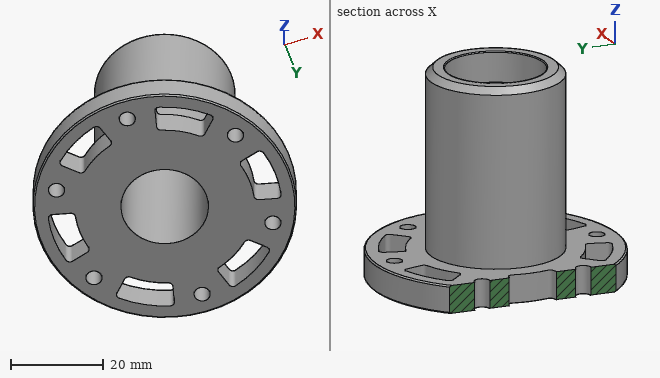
import cadquery as cq
import math

flange_diameter = 57.15
flange_thickness = 6.45
flange_edge_chamfer = 0.35

overall_height = 47.6
tube_diameter = 30.5
tube_chamfer_width = 1.6
tube_chamfer_height = 1.5

bore_diameter = 19.0
seat_diameter = 22.2
seat_depth = 7.05
seat_edge_chamfer = 0.25

pattern_count = 6
pattern_step = 360 / pattern_count
bolt_hole_diameter = 3.5
bolt_circle_radius = 23.85
first_bolt_angle = pattern_step / 2
window_inner_radius = 19.55
window_outer_radius = 25.45
window_half_angle = 15.0
window_corner_radius = 1.0


def polar_point(radius, angle):
    """Point in the XY plane at a radius and an angle in degrees."""
    radians = math.radians(angle)
    return (radius * math.cos(radians), radius * math.sin(radians))


def make_body():
    """Flange with a coaxial tube standing on its top."""
    flange = (
        cq.Workplane("XY")
        .circle(flange_diameter / 2)
        .extrude(flange_thickness)
        .edges()
        .chamfer(flange_edge_chamfer)
    )
    tube = (
        cq.Workplane("XY")
        .circle(tube_diameter / 2)
        .extrude(overall_height)
        .faces(">Z")
        .edges()
        .chamfer(tube_chamfer_height, tube_chamfer_width)
    )
    return flange.union(tube)


def make_bore():
    """Through bore with a chamfered seat sunk from the tube's top."""
    bore = cq.Workplane("XY").circle(bore_diameter / 2).extrude(overall_height)
    seat = (
        cq.Workplane("XY", origin=(0, 0, overall_height - seat_depth))
        .circle(seat_diameter / 2)
        .extrude(seat_depth)
    )
    seat_radius = seat_diameter / 2
    seat_entry = cq.Workplane(
        cq.Solid.makeCone(
            seat_radius,
            seat_radius + seat_edge_chamfer,
            seat_edge_chamfer,
            pnt=cq.Vector(0, 0, overall_height - seat_edge_chamfer),
        )
    )
    return bore.union(seat).union(seat_entry)


def make_bolt_holes():
    return (
        cq.Workplane("XY")
        .polarArray(bolt_circle_radius, first_bolt_angle, 360, pattern_count)
        .circle(bolt_hole_diameter / 2)
        .extrude(flange_thickness)
    )


def make_window():
    """Ring sector centred on +X, with radial sides and rounded corners."""
    return (
        cq.Workplane("XY")
        .moveTo(*polar_point(window_inner_radius, -window_half_angle))
        .lineTo(*polar_point(window_outer_radius, -window_half_angle))
        .threePointArc(
            (window_outer_radius, 0),
            polar_point(window_outer_radius, window_half_angle),
        )
        .lineTo(*polar_point(window_inner_radius, window_half_angle))
        .threePointArc(
            (window_inner_radius, 0),
            polar_point(window_inner_radius, -window_half_angle),
        )
        .close()
        .extrude(flange_thickness)
        .edges("|Z")
        .fillet(window_corner_radius)
    )


result = make_body().cut(make_bore()).cut(make_bolt_holes())
window = make_window()
for index in range(pattern_count):
    result = result.cut(window.rotate((0, 0, 0), (0, 0, 1), index * pattern_step))